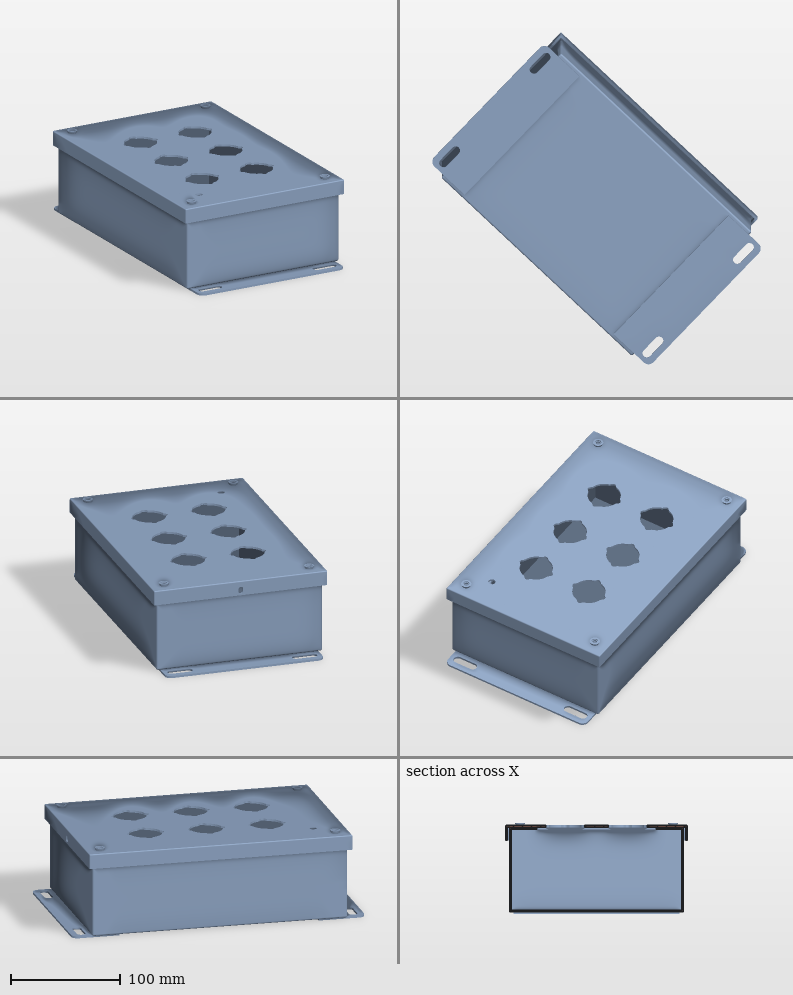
import cadquery as cq
import math

sheet = 2.0
foot_thickness = 2.0

box_length = 240.3
box_width = 159.0
box_bend_radius = 1.7
box_bottom = foot_thickness

cover_length = 248.0
cover_width = 166.5
cover_top = 81.2
lip_bottom = 67.5
cover_bend_radius = 0.97
cover_underside = cover_top - sheet

gasket_thickness = 2.0
gasket_strip_width = 25.0
gasket_bottom = cover_underside - gasket_thickness

overall_length = 276.2
foot_inner_x = 94.0
foot_width = 152.0
foot_corner_radius = 6.0
slot_width = 8.0
slot_length = 24.0
slot_x = 128.2
slot_y = 60.0

button_pitch = 57.2
button_columns = 3
button_rows = 2
button_hole_diameter = 30.5
notch_apex = 18.5
notch_radius = 2.5

pilot_diameter = 6.5
pilot_x = 94.5
pilot_y = -52.8
lip_slot_width = 4.5
lip_slot_height = 6.5
lip_slot_z = 72.5

screw_x = 111.0
screw_y = 70.0
screw_top = 83.5
screw_top_diameter = 9.5
screw_base_diameter = 8.0
recess_diameter = 5.8
recess_depth = 0.8
socket_diameter = 4.1
socket_depth = screw_top - cover_top


def block(length, width, bottom, top):
    """Rectangular block centred on the Z axis between two heights."""
    return cq.Workplane("XY").workplane(offset=bottom).rect(length, width).extrude(top - bottom)


def make_button_cutter():
    """Grid of notched push-button openings, as deep as the cover sheet."""
    plane = cq.Workplane("XY").workplane(offset=cover_underside)
    grid = plane.rarray(button_pitch, button_pitch, button_columns, button_rows)
    centres = [(centre.x, centre.y, 0) for centre in grid.vals()]
    round_holes = grid.circle(button_hole_diameter / 2).extrude(sheet)

    notch_side = notch_apex * math.sqrt(2)
    notches = (
        plane.transformed(rotate=(0, 0, 45))
        .rect(notch_side, notch_side)
        .extrude(sheet)
        .edges("|Z")
        .fillet(notch_radius)
    )
    cutter = round_holes
    for centre in centres:
        cutter = cutter.union(notches.translate(centre))
    return cutter


def make_foot(side):
    """Slotted mounting plate under one end of the box; side is -1 or 1."""
    outer_x = overall_length / 2
    foot = (
        cq.Workplane("XY")
        .center(side * (outer_x + foot_inner_x) / 2, 0)
        .rect(outer_x - foot_inner_x, foot_width)
        .extrude(foot_thickness)
    )
    outer_edges = "|Z and >X" if side > 0 else "|Z and <X"
    foot = foot.edges(outer_edges).fillet(foot_corner_radius)
    slots = (
        cq.Workplane("XY")
        .pushPoints([(side * slot_x, slot_y), (side * slot_x, -slot_y)])
        .slot2D(slot_length, slot_width, 90)
        .extrude(foot_thickness)
    )
    return foot.cut(slots)


def make_box():
    """Open-topped box with rounded bends, joined to its two welded feet."""
    shell = block(box_length, box_width, box_bottom, gasket_bottom)
    shell = shell.edges("|Z").fillet(box_bend_radius)
    shell = shell.faces("<Z").edges().fillet(box_bend_radius)
    cavity = block(box_length - 2 * sheet, box_width - 2 * sheet, box_bottom + sheet, gasket_bottom)
    box = shell.cut(cavity)
    for side in (-1, 1):
        box = box.union(make_foot(side))
    return box


def make_gasket():
    """Rectangular frame on the box rim, reaching in under the pilot hole."""
    outer = block(box_length, box_width, gasket_bottom, cover_underside)
    opening = block(
        box_length - 2 * gasket_strip_width,
        box_width - 2 * gasket_strip_width,
        gasket_bottom,
        cover_underside,
    )
    return outer.cut(opening)


def add_screw_head(cover, x, y):
    """Add a head that widens upward, with a stepped round socket in its top."""
    head = (
        cq.Workplane("XY", origin=(x, y, cover_top))
        .circle(screw_base_diameter / 2)
        .workplane(offset=screw_top - cover_top)
        .circle(screw_top_diameter / 2)
        .loft()
    )
    top_plane = cq.Workplane("XY", origin=(x, y, screw_top))
    recess = top_plane.circle(recess_diameter / 2).extrude(-recess_depth)
    socket = top_plane.circle(socket_diameter / 2).extrude(-socket_depth)
    return cover.union(head).cut(recess).cut(socket)


def make_cover():
    """Lipped cover with its openings and the four captive screw heads."""
    cover = block(cover_length, cover_width, lip_bottom, cover_top)
    cover = cover.edges("|Z").fillet(cover_bend_radius)
    cover = cover.faces(">Z").edges().fillet(cover_bend_radius)
    inside = block(cover_length - 2 * sheet, cover_width - 2 * sheet, lip_bottom, cover_underside)
    cover = cover.cut(inside)

    pilot = (
        cq.Workplane("XY", origin=(pilot_x, pilot_y, cover_underside))
        .circle(pilot_diameter / 2)
        .extrude(sheet)
    )
    lip_slot = (
        cq.Workplane("YZ", origin=(-cover_length / 2, 0, lip_slot_z))
        .slot2D(lip_slot_height, lip_slot_width, 90)
        .extrude(sheet)
    )
    cover = cover.cut(make_button_cutter()).cut(pilot).cut(lip_slot)

    for x in (-screw_x, screw_x):
        for y in (-screw_y, screw_y):
            cover = add_screw_head(cover, x, y)
    return cover


box = make_box()
gasket = make_gasket()
cover = make_cover()

result = cq.Compound.makeCompound([box.val(), gasket.val(), cover.val()])